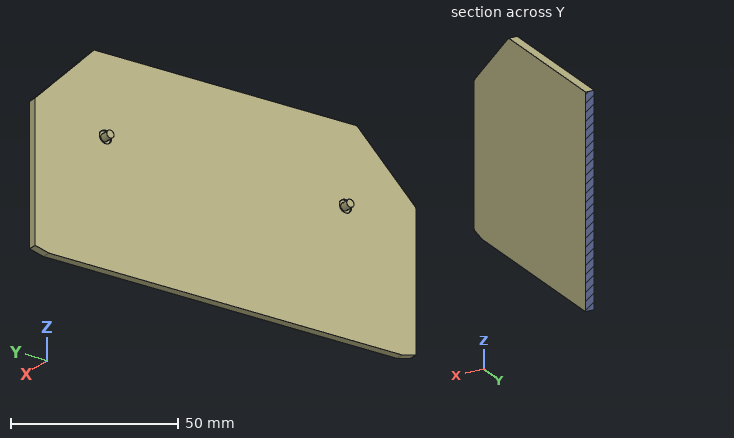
import cadquery as cq

length = 138.0
height = 71.2
thickness = 3.0
top_chamfer = 21.4
bottom_bevel_length = 5.0
bottom_bevel_height = 1.2

total_depth = 5.5
pin_length = total_depth - thickness
pin_diameter = 2.6
pin_spacing = 87.0
pin_height = 43.6
groove_diameter = 4.4
groove_depth = 0.7


def make_plate():
    """Symmetric plate with large top chamfers and slight bottom bevels."""
    half = length / 2
    right_side = [
        (half - bottom_bevel_length, 0),
        (half, bottom_bevel_height),
        (half, height - top_chamfer),
        (half - top_chamfer, height),
    ]
    left_side = [(-y, z) for y, z in reversed(right_side)]
    return cq.Workplane("YZ").polyline(right_side + left_side).close().extrude(thickness)


def cylinders_at_pins(diameter, start_x, depth):
    """Cylinders along +X at both pin positions."""
    positions = [(side * pin_spacing / 2, pin_height) for side in (-1, 1)]
    return (
        cq.Workplane("YZ", origin=(start_x, 0, 0))
        .pushPoints(positions)
        .circle(diameter / 2)
        .extrude(depth)
    )


plate = make_plate()
grooves = cylinders_at_pins(groove_diameter, 0, groove_depth)
pins = cylinders_at_pins(pin_diameter, -pin_length, pin_length + groove_depth)

result = plate.cut(grooves).union(pins)